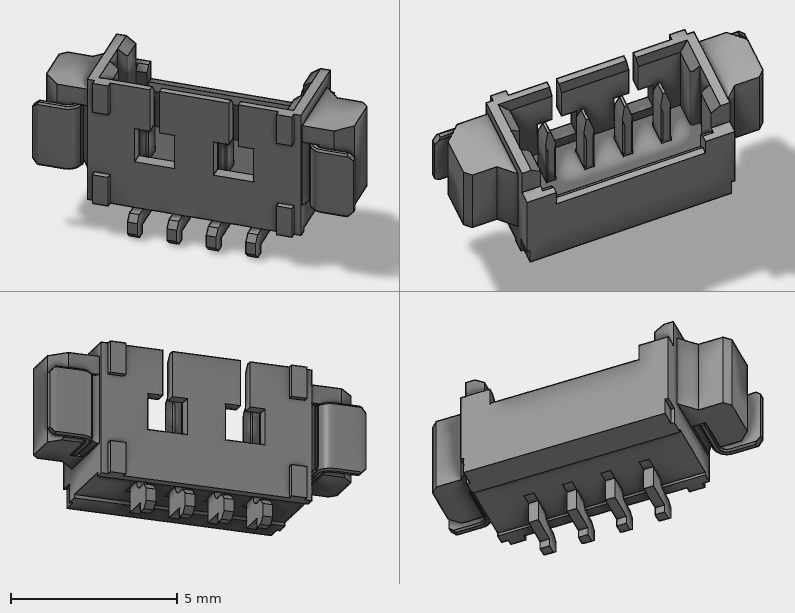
import cadquery as cq
import math


pin_count = 4
pin_pitch = 1.25

housing_half_length = 3.38
housing_back = 3.2
housing_height = 4.2
cavity_half_length = 3.08
cavity_front = 0.4
cavity_back = 2.8
cavity_floor = 1.2
back_wall_height = 3.2
back_window_half_length = 2.43
back_window_height = 2.6
back_wall_chamfer = 0.18

rib_inner_x = 2.77
rib_inner_round = 0.1
front_rib_end = 1.22
back_rib_start = 1.98
lead_in_depth = 0.22
lead_in_front = 0.2

window_offset = pin_pitch
window_width = 1.27
window_bottom = 1.59
window_top = 2.75
slot_width = 0.3

pad_inner_x = 2.66
pad_width = 0.5
pad_height = 1.0
pad_depth = 0.18
relief_front = 0.3
relief_back = 2.28
relief_height = 0.11
corner_recess_start = 2.72
corner_recess_height = 0.6
corner_recess_depth = 0.1

wing_half_length = 4.87
wing_front = 0.12
wing_front_chamfer = 0.49
wing_back = 2.01
wing_back_chamfer = 0.2
wing_root_flare = 0.49
wing_bottom = 1.0
wing_top = 3.78

tab_half_length = 5.08
tab_bottom = wing_bottom
tab_height = 2.19
tab_front = -pad_depth
tab_thickness = 0.23
tab_bend_radius = 0.46
tab_leg_x = 3.61
tab_leg_end = 1.42
tab_edge_bevel = 0.06
tab_end_bevel = 0.2
tab_slot_lead_in = 0.17

pin_width = 0.31
blade_front = 0.75
blade_back = 1.47
blade_edge_chamfer = 0.05
blade_chamfer_start = 1.32
blade_tip = 3.52
tip_width = 0.09
tip_center = 1.1
tip_side_taper = 0.45
tip_end_taper = 0.74
tip_depth = 0.4
tail_back = 1.13
tail_neck_front = 0.56
tail_top = -0.19
tail_underside = -0.7
tail_bend_radius = 0.28
foot_front = -0.25
foot_back = 0.24
foot_bottom = -0.99
foot_chamfer = 0.2


def block(x_range, y_range, z_range):
    """Axis-aligned box from its limits along X, Y and Z."""
    (x0, x1), (y0, y1), (z0, z1) = x_range, y_range, z_range
    return cq.Workplane("XY").box(x1 - x0, y1 - y0, z1 - z0, centered=False).translate((x0, y0, z0))


def prism_along_x(points, x_start, x_end):
    """Prism with a (Y, Z) outline."""
    return cq.Workplane("YZ").polyline(points).close().extrude(x_end - x_start).translate((x_start, 0, 0))


def prism_along_y(points, y_start, y_end):
    """Prism with an (X, Z) outline."""
    return cq.Workplane("XZ").polyline(points).close().extrude(y_start - y_end).translate((0, y_start, 0))


def prism_along_z(points, z_start, z_end):
    """Prism with an (X, Y) outline."""
    return cq.Workplane("XY").polyline(points).close().extrude(z_end - z_start).translate((0, 0, z_start))


def with_mirror(shape):
    """The shape together with its mirror image at the other end of the part."""
    return shape.union(shape.mirror("YZ"))



def tab_blank():
    """Square-edged bent strip of the tab at the +X end."""
    bend_start = tab_leg_x + tab_bend_radius
    bend_y = tab_front + tab_bend_radius
    inner_radius = tab_bend_radius - tab_thickness
    diagonal = math.sqrt(0.5)
    return (
        cq.Workplane("XY")
        .moveTo(tab_half_length, tab_front)
        .lineTo(bend_start, tab_front)
        .threePointArc(
            (bend_start - tab_bend_radius * diagonal, bend_y - tab_bend_radius * diagonal),
            (tab_leg_x, bend_y),
        )
        .lineTo(tab_leg_x, tab_leg_end)
        .lineTo(tab_leg_x + tab_thickness, tab_leg_end)
        .lineTo(tab_leg_x + tab_thickness, bend_y)
        .threePointArc(
            (bend_start - inner_radius * diagonal, bend_y - inner_radius * diagonal),
            (bend_start, tab_front + tab_thickness),
        )
        .lineTo(tab_half_length, tab_front + tab_thickness)
        .close()
        .extrude(tab_height)
        .translate((0, 0, tab_bottom))
    )


def make_tab():
    """Tab at the +X end with bevelled edges and cut corners."""
    tab_top = tab_bottom + tab_height
    tab_back = tab_front + tab_thickness
    bevel_start = tab_half_length - tab_end_bevel
    tab = tab_blank().faces(">Z or <Z").edges().chamfer(tab_edge_bevel)
    for corner_z, inward in ((tab_bottom, 1), (tab_top, -1)):
        corner = [
            (bevel_start, corner_z),
            (tab_half_length, corner_z),
            (tab_half_length, corner_z + inward * tab_end_bevel),
        ]
        tab = tab.cut(prism_along_y(corner, tab_front, tab_back))
    end_bevel = [
        (bevel_start, tab_front),
        (tab_half_length, tab_front),
        (tab_half_length, tab_front + tab_edge_bevel),
    ]
    return tab.cut(prism_along_z(end_bevel, tab_bottom, tab_top))



def make_pin(x_center):
    """Pin with a tapered contact blade above and a stepped solder tail below."""
    blade = block(
        (-pin_width / 2, pin_width / 2), (blade_front, blade_back), (blade_chamfer_start, blade_tip)
    )
    blade = blade.edges("|Z").chamfer(blade_edge_chamfer)
    blade_root = block(
        (-pin_width / 2, pin_width / 2), (blade_front, blade_back), (relief_height, blade_chamfer_start)
    )
    blade = blade.union(blade_root)
    side_taper = [
        (-pin_width / 2, relief_height),
        (pin_width / 2, relief_height),
        (pin_width / 2, blade_tip - tip_side_taper),
        (tip_width / 2, blade_tip),
        (-tip_width / 2, blade_tip),
        (-pin_width / 2, blade_tip - tip_side_taper),
    ]
    end_taper = [
        (blade_front, relief_height),
        (blade_back, relief_height),
        (blade_back, blade_tip - tip_end_taper),
        (tip_center + tip_depth / 2, blade_tip),
        (tip_center - tip_depth / 2, blade_tip),
        (blade_front, blade_tip - tip_end_taper),
    ]
    blade = blade.intersect(prism_along_y(side_taper, blade_front, blade_back))
    blade = blade.intersect(prism_along_x(end_taper, -pin_width / 2, pin_width / 2))

    bend_y = tail_neck_front - tail_bend_radius
    bend_z = tail_top + tail_bend_radius
    bend_mid = tail_bend_radius * math.sqrt(0.5)
    tail = (
        cq.Workplane("YZ")
        .moveTo(tail_back, relief_height)
        .lineTo(tail_back, tail_underside)
        .lineTo(foot_back, tail_underside)
        .lineTo(foot_back, foot_bottom)
        .lineTo(foot_front + foot_chamfer, foot_bottom)
        .lineTo(foot_front, foot_bottom + foot_chamfer)
        .lineTo(foot_front, tail_top - foot_chamfer)
        .lineTo(foot_front + foot_chamfer, tail_top)
        .lineTo(bend_y, tail_top)
        .threePointArc((bend_y + bend_mid, bend_z - bend_mid), (tail_neck_front, bend_z))
        .lineTo(tail_neck_front, relief_height)
        .close()
        .extrude(pin_width / 2, both=True)
    )
    return blade.union(tail).translate((x_center, 0, 0))



def make_wing():
    """Wing at the +X end, with the tab slot, its chamfered mouth and its lead-ins."""
    outline = [
        (cavity_half_length, wing_front),
        (wing_half_length - wing_front_chamfer, wing_front),
        (wing_half_length, wing_front + wing_front_chamfer),
        (wing_half_length, wing_back - wing_back_chamfer),
        (wing_half_length - wing_back_chamfer, wing_back),
        (housing_half_length + wing_root_flare, wing_back),
        (housing_half_length, wing_back + wing_root_flare),
        (cavity_half_length, wing_back + wing_root_flare),
    ]
    wing = prism_along_z(outline, wing_bottom, wing_top)

    mouth_depth = tab_leg_x - housing_half_length
    mouth = [
        (housing_half_length, wing_front),
        (tab_leg_x, wing_front),
        (tab_leg_x, wing_front + mouth_depth),
    ]
    wing = wing.cut(prism_along_z(mouth, tab_bottom, tab_bottom + tab_height))

    front_lead_in = [
        (wing_front, wing_bottom),
        (wing_front + tab_slot_lead_in, wing_bottom),
        (wing_front, wing_bottom + tab_slot_lead_in),
    ]
    wing = wing.cut(prism_along_x(front_lead_in, tab_leg_x, wing_half_length))

    leg_lead_in = [
        (tab_leg_x, wing_bottom),
        (tab_leg_x - tab_slot_lead_in, wing_bottom),
        (tab_leg_x, wing_bottom + tab_slot_lead_in),
    ]
    wing = wing.cut(prism_along_y(leg_lead_in, wing_front, tab_leg_end))
    return wing.cut(tab_blank())


def make_rib(y_start, y_end, rounded_edge):
    """Guide rib on the +X wall; its free inner edge is rounded."""
    rib = block((rib_inner_x, cavity_half_length), (y_start, y_end), (cavity_floor, housing_height))
    return rib.edges(rounded_edge).fillet(rib_inner_round)


def lead_in():
    """Cutter for the slopes at the cavity mouth, on the front wall and the guide ribs."""
    slope_bottom = housing_height - lead_in_depth
    across = [
        (-rib_inner_x, slope_bottom),
        (rib_inner_x, slope_bottom),
        (cavity_half_length, housing_height),
        (-cavity_half_length, housing_height),
    ]
    along = [
        (cavity_front, slope_bottom),
        (cavity_back, slope_bottom),
        (cavity_back, housing_height),
        (lead_in_front, housing_height),
    ]
    across_cut = prism_along_y(across, lead_in_front, cavity_back)
    return across_cut.intersect(prism_along_x(along, -cavity_half_length, cavity_half_length))


def back_wall_cut(half_length, wall_height, chamfer_half_length):
    """Cutter that lowers the back wall to a given height and chamfers its inner top edge."""
    opening = block((-half_length, half_length), (cavity_back, housing_back), (wall_height, housing_height))
    chamfer = [
        (cavity_back, wall_height),
        (cavity_back + back_wall_chamfer, wall_height),
        (cavity_back, wall_height - back_wall_chamfer),
    ]
    return opening.union(prism_along_x(chamfer, -chamfer_half_length, chamfer_half_length))


def front_window(x_center):
    """Cutter for a keyed window with its narrow slot up to the rim."""
    window = block(
        (x_center - window_width / 2, x_center + window_width / 2),
        (0, cavity_front),
        (window_bottom, window_top),
    )
    slot = block(
        (x_center - slot_width / 2, x_center + slot_width / 2),
        (0, cavity_front),
        (window_top, housing_height),
    )
    return window.union(slot)


def make_pads():
    """Stand-off pads at the top and bottom of the front wall, +X end."""
    pad_x = (pad_inner_x, pad_inner_x + pad_width)
    lower = block(pad_x, (-pad_depth, 0), (0, pad_height))
    upper = block(pad_x, (-pad_depth, 0), (housing_height - pad_height, housing_height))
    return lower.union(upper)


def make_housing(pins):
    """Open-topped housing with holes that match the pins."""
    full_length = (-housing_half_length, housing_half_length)
    housing = block(full_length, (0, housing_back), (0, housing_height))
    housing = housing.cut(
        block(
            (-cavity_half_length, cavity_half_length),
            (cavity_front, cavity_back),
            (cavity_floor, housing_height),
        )
    )
    housing = housing.union(with_mirror(make_rib(cavity_front, front_rib_end, "|Z and <X and >Y")))
    housing = housing.union(with_mirror(make_rib(back_rib_start, cavity_back, "|Z and <X and <Y")))
    housing = housing.cut(lead_in())
    housing = housing.cut(back_wall_cut(housing_half_length, back_wall_height, rib_inner_x))
    housing = housing.cut(
        back_wall_cut(back_window_half_length, back_window_height, back_window_half_length)
    )
    for x_center in (-window_offset, window_offset):
        housing = housing.cut(front_window(x_center))

    housing = housing.union(with_mirror(make_pads()))
    housing = housing.union(with_mirror(make_wing()))
    housing = housing.cut(block(full_length, (relief_front, relief_back), (0, relief_height)))
    corner_recess = block(
        (housing_half_length - corner_recess_depth, housing_half_length),
        (corner_recess_start, housing_back),
        (0, corner_recess_height),
    )
    housing = housing.cut(with_mirror(corner_recess))
    for pin in pins:
        housing = housing.cut(pin)
    return housing


pins = [make_pin((i - (pin_count - 1) / 2) * pin_pitch) for i in range(pin_count)]
right_tab = make_tab()
left_tab = right_tab.mirror("YZ")
housing = make_housing(pins)

result = cq.Compound.makeCompound(
    [body.solids().val() for body in (housing, *pins, left_tab, right_tab)]
)